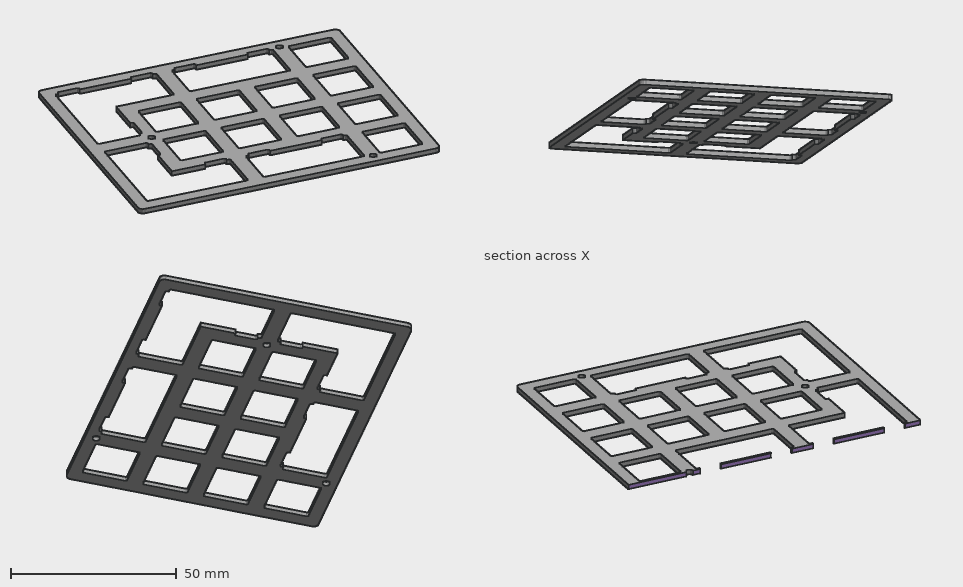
import cadquery as cq

KEY_PITCH = 19.05
COLUMNS = 4
ROWS = 5
SWITCH_SIZE = 14.0
DOUBLE_LENGTH = SWITCH_SIZE + KEY_PITCH
OPENING_RADIUS = 0.5

PLATE_BORDER = 3.175 / 2
PLATE_WIDTH = COLUMNS * KEY_PITCH + 2 * PLATE_BORDER
PLATE_LENGTH = ROWS * KEY_PITCH + 2 * PLATE_BORDER
PLATE_THICKNESS = 1.6
PLATE_RADIUS = PLATE_BORDER

STABILIZER_OFFSET = 11.938
STABILIZER_WIDTH = 7.0
STABILIZER_DEPTH = 1.0

SCREW_DIAMETER = 2.2
SCREW_EDGE_DISTANCE = 3.45

SINGLE_KEYS = [(column, 0) for column in range(COLUMNS)]
SINGLE_KEYS += [(column, row) for column in (1, 2) for row in (1, 2, 3)]
UPRIGHT_DOUBLE_KEYS = [(0, 1.5), (3, 1.5), (0, 3.5), (3, 3.5)]
LEVEL_DOUBLE_KEYS = [(0.5, 4), (2.5, 4)]


def key_center(column, row):
    """Position of a key on the plate, whose middle is the origin."""
    x = (column - (COLUMNS - 1) / 2) * KEY_PITCH
    y = ((ROWS - 1) / 2 - row) * KEY_PITCH
    return x, y


def rounded_block(x, y, width, length, radius):
    """Plate-thick block centred on (x, y), with its vertical edges rounded."""
    block = cq.Workplane("XY").center(x, y).rect(width, length).extrude(PLATE_THICKNESS)
    return block.edges("|Z").fillet(radius)


def opening_block(x, y, width, length):
    """Cutter of one rectangular opening or notch."""
    return rounded_block(x, y, width, length, OPENING_RADIUS)


def upright_double_cutter(column, row):
    """Opening two keys long in Y, with stabilizer notches in its -X side."""
    x, y = key_center(column, row)
    cutter = opening_block(x, y, SWITCH_SIZE, DOUBLE_LENGTH)
    for offset in (-STABILIZER_OFFSET, STABILIZER_OFFSET):
        notch = opening_block(x - STABILIZER_DEPTH, y + offset, SWITCH_SIZE, STABILIZER_WIDTH)
        cutter = cutter.union(notch)
    return cutter


def level_double_cutter(column, row):
    """Opening two keys long in X, with stabilizer notches in its +Y side."""
    x, y = key_center(column, row)
    cutter = opening_block(x, y, DOUBLE_LENGTH, SWITCH_SIZE)
    for offset in (-STABILIZER_OFFSET, STABILIZER_OFFSET):
        notch = opening_block(x + offset, y + STABILIZER_DEPTH, STABILIZER_WIDTH, SWITCH_SIZE)
        cutter = cutter.union(notch)
    return cutter


def key_cutters():
    """Cutters of all key openings."""
    cutters = [opening_block(*key_center(*key), SWITCH_SIZE, SWITCH_SIZE) for key in SINGLE_KEYS]
    cutters += [upright_double_cutter(*key) for key in UPRIGHT_DOUBLE_KEYS]
    cutters += [level_double_cutter(*key) for key in LEVEL_DOUBLE_KEYS]
    return cutters


def screw_points():
    """Two screws beside the first row gap and one in the middle of the last row gap."""
    side_x = PLATE_WIDTH / 2 - SCREW_EDGE_DISTANCE
    upper_y = key_center(0, 0.5)[1]
    lower_y = key_center(0, 3.5)[1]
    return [(-side_x, upper_y), (side_x, upper_y), (0, lower_y)]


plate = rounded_block(0, 0, PLATE_WIDTH, PLATE_LENGTH, PLATE_RADIUS)
for cutter in key_cutters():
    plate = plate.cut(cutter)
screws = cq.Workplane("XY").pushPoints(screw_points()).circle(SCREW_DIAMETER / 2).extrude(PLATE_THICKNESS)
result = plate.cut(screws)